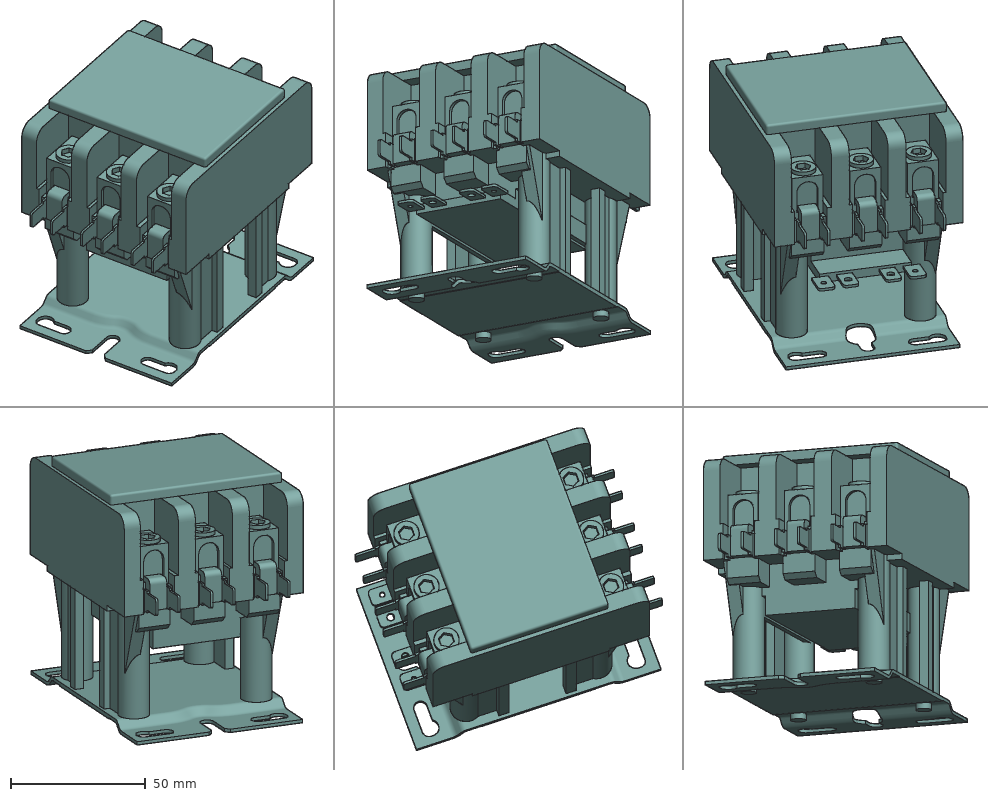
import cadquery as cq
import math


HOUSING_X = 73.0
HOUSING_Y = 85.3
HOUSING_TOP = 87.5
HOUSING_BOTTOM = 48.7
HOUSING_CORNER_R = 5.0
CORE_Y = 54.2
CORE_BOTTOM = 46.5
POCKET_BACK = 20.9

COVER_X = 69.8
COVER_TOP = 91.3
COVER_EDGE_R = 0.9

POLE_PITCH = 22.4
BARRIER_X = 11.0
BARRIER_WIDTH = 6.9
OUTER_BARRIER_INSIDE = 29.9
LEDGE_Z = 62.1
LOWER_POCKET_WIDTH = 12.6

BLOCK_WIDTH = 12.0
BLOCK_FRONT = 38.1
BLOCK_TOP = 73.7
SCREW_Y = 32.4
SCREW_D = 9.5
SCREW_TOP = 75.2
SOCKET_CORNER_D = 5.9
SOCKET_DEPTH = 2.0
WINDOW_WIDTH = 8.2
WINDOW_TOP = 71.6
WINDOW_DEPTH = 1.5

TONGUE_WIDTH = 6.9
TONGUE_TOP = 61.5
TONGUE_FRONT = 42.1
TONGUE_BEND_R = 2.0

CHEEK_FRONT = 40.9
CHEEK_TOP = 57.7
BLADE_OUTSIDE = 5.0
BLADE_THICKNESS = 0.9
BLADE_BACK = 40.0
BLADE_SHOULDER = 43.1
BLADE_TIP = 50.9
BLADE_Z = 53.4
BLADE_HEIGHT = 6.5
BLADE_ROOT_HEIGHT = 8.3
BLADE_TIP_R = 1.0

SHELF_FRONT = 38.6
SHELF_TOP = 49.5
SHELF_BOTTOM = 40.0
SHELF_CHAMFER = 2.0

COIL_X = 39.5
COIL_BOTTOM = 36.9
COIL_Y = CORE_Y
BOBBIN_X = 35.6
BOBBIN_BOTTOM = 29.4
FLANGE_TOP = 33.0
FLANGE_END = 38.6
RAIL_INSIDE = 19.3
RAIL_OUTSIDE = 21.3
TAB_Z = 30.8
TAB_THICKNESS = 1.0
TAB_END = 48.4
TAB_CORNER_R = 1.5
TAB_HOLE_Y = 43.6
COIL_TABS = ((17.7, 6.5, 1.9), (8.2, 6.1, 2.9))

POST_X = 24.9
POST_Y = 25.7
POST_R = 5.9
WEB_OUTSIDE = 30.0
WEB_INSIDE = 28.8
RIB_OUTSIDE = 32.4
RIB_INNER_Y = 11.2
RIB_OUTER_Y = 15.3
GUSSET_INSIDE = 24.9
GUSSET_TIP_Y = 28.8
GUSSET_TIP_Z = 22.0
PIN_D = 5.9
PIN_BOTTOM = 0.8

BASE_X = 67.4
BASE_Y = 96.3
SHEET = 1.3
DECK_TOP = 4.5
DECK_END = 28.5
BEND_R = 2.6
BULGE_DEPTH = 3.3
BULGE_HALF_WIDTH = 12.4
BULGE_ARC_R = 11.4
NOTCH_R = 2.6
NOTCH_MOUTH_CHAMFER = 1.7
KEYHOLE_R = 5.6
KEYHOLE_Y = 32.4
KEYHOLE_END = 43.9
SLOT_INNER_X = 16.0
SLOT_OUTER_X = 30.5
SLOT_OUTER_Y = 43.8
SLOT_WIDTH = 5.1
SLOT_HEAD_R = 3.3
PAD_BOTTOM = 2.9
PAD_Y = 44.8


def block(x0, x1, y0, y1, z0, z1):
    """Rectangular block between two opposite corners."""
    return cq.Workplane("XY").box(x1 - x0, y1 - y0, z1 - z0, centered=False).translate((x0, y0, z0))


def centred_block(width, length, z0, z1):
    return block(-width / 2, width / 2, -length / 2, length / 2, z0, z1)


def along_x(outline, x0, x1):
    """Extrude a closed YZ outline from x0 to x1."""
    return outline.close().extrude(x1 - x0).translate((x0, 0, 0))


def four_corners(shape):
    """The shape and its mirror images in the XZ and YZ planes."""
    pair = shape.union(shape.mirror("XZ"))
    return pair.union(pair.mirror("YZ"))



def make_housing():
    shell = centred_block(HOUSING_X, HOUSING_Y, HOUSING_BOTTOM, HOUSING_TOP)
    shell = shell.edges("|X and >Z").fillet(HOUSING_CORNER_R)
    shell = shell.union(centred_block(HOUSING_X, CORE_Y, CORE_BOTTOM, HOUSING_TOP))
    cover = centred_block(COVER_X, CORE_Y, HOUSING_TOP, COVER_TOP)
    cover = cover.edges("|Z or >Z").fillet(COVER_EDGE_R)
    return shell.union(cover)


def pocket(x0, x1, z0):
    """Space between two barriers at the -Y end, open at the front."""
    return block(x0, x1, -HOUSING_Y / 2, -POCKET_BACK, z0, HOUSING_TOP)


def make_front_pockets():
    inner_face = BARRIER_X - BARRIER_WIDTH / 2
    outer_face = BARRIER_X + BARRIER_WIDTH / 2
    pockets = pocket(-inner_face, inner_face, LEDGE_Z)
    pockets = pockets.union(pocket(-OUTER_BARRIER_INSIDE, -outer_face, LEDGE_Z))
    pockets = pockets.union(pocket(outer_face, OUTER_BARRIER_INSIDE, LEDGE_Z))
    for pole in (-1, 0, 1):
        x = pole * POLE_PITCH
        half = LOWER_POCKET_WIDTH / 2
        pockets = pockets.union(pocket(x - half, x + half, HOUSING_BOTTOM))
    return pockets



def make_terminal_block():
    half = BLOCK_WIDTH / 2
    body = block(-half, half, -BLOCK_FRONT, -POCKET_BACK, HOUSING_BOTTOM, BLOCK_TOP)
    arch_r = WINDOW_WIDTH / 2
    window = block(-arch_r, arch_r, -BLOCK_FRONT, WINDOW_DEPTH - BLOCK_FRONT,
                   TONGUE_TOP - TONGUE_BEND_R, WINDOW_TOP - arch_r)
    arch = (cq.Workplane("XZ", origin=(0, WINDOW_DEPTH - BLOCK_FRONT, WINDOW_TOP - arch_r))
            .circle(arch_r).extrude(WINDOW_DEPTH))
    head = (cq.Workplane("XY", origin=(0, -SCREW_Y, BLOCK_TOP))
            .circle(SCREW_D / 2).extrude(SCREW_TOP - BLOCK_TOP))
    socket = (cq.Workplane("XY", origin=(0, -SCREW_Y, SCREW_TOP))
              .polygon(6, SOCKET_CORNER_D).extrude(-SOCKET_DEPTH))
    return body.cut(window).cut(arch).union(head).cut(socket)


def make_tongue():
    half = TONGUE_WIDTH / 2
    tongue = block(-half, half, -TONGUE_FRONT, WINDOW_DEPTH - BLOCK_FRONT, SHELF_TOP, TONGUE_TOP)
    return tongue.edges("|X and >Z and <Y").fillet(TONGUE_BEND_R)


def make_blade():
    """Blade on the +X side of the pole, with the cheek that holds it."""
    inside = BLADE_OUTSIDE - BLADE_THICKNESS
    root = block(inside, BLADE_OUTSIDE, -BLADE_SHOULDER, -BLADE_BACK,
                 BLADE_Z - BLADE_ROOT_HEIGHT / 2, BLADE_Z + BLADE_ROOT_HEIGHT / 2)
    tip = block(inside, BLADE_OUTSIDE, -BLADE_TIP, -BLADE_BACK,
                BLADE_Z - BLADE_HEIGHT / 2, BLADE_Z + BLADE_HEIGHT / 2)
    tip = tip.edges("|X and <Y").fillet(BLADE_TIP_R)
    cheek = block(BLADE_OUTSIDE, LOWER_POCKET_WIDTH / 2, -CHEEK_FRONT, -POCKET_BACK,
                  HOUSING_BOTTOM, CHEEK_TOP)
    return root.union(tip).union(cheek)


def make_shelf():
    half = LOWER_POCKET_WIDTH / 2
    shelf = block(-half, half, -SHELF_FRONT, -COIL_Y / 2, SHELF_BOTTOM, SHELF_TOP)
    return shelf.edges("|X and <Z and <Y").chamfer(SHELF_CHAMFER)


def make_terminal():
    blade = make_blade()
    terminal = make_terminal_block().union(make_tongue()).union(make_shelf())
    return terminal.union(blade).union(blade.mirror("YZ"))



def make_coil():
    coil = centred_block(COIL_X, COIL_Y, COIL_BOTTOM, HOUSING_BOTTOM)
    coil = coil.union(centred_block(BOBBIN_X, COIL_Y, BOBBIN_BOTTOM, COIL_BOTTOM))
    half = BOBBIN_X / 2
    coil = coil.union(block(-half, half, 0, FLANGE_END, BOBBIN_BOTTOM, FLANGE_TOP))
    rail = block(RAIL_INSIDE, RAIL_OUTSIDE, -COIL_Y / 2, COIL_Y / 2, BOBBIN_BOTTOM, COIL_BOTTOM)
    coil = coil.union(rail).union(rail.mirror("YZ"))
    for x, width, hole_d in COIL_TABS:
        tab = block(x - width / 2, x + width / 2, FLANGE_END, TAB_END,
                    TAB_Z, TAB_Z + TAB_THICKNESS)
        tab = tab.edges("|Z and >Y").fillet(TAB_CORNER_R)
        hole = (cq.Workplane("XY", origin=(x, TAB_HOLE_Y, TAB_Z))
                .circle(hole_d / 2).extrude(TAB_THICKNESS))
        tab = tab.cut(hole)
        coil = coil.union(tab).union(tab.mirror("YZ"))
    return coil



def make_leg():
    deck_bottom = DECK_TOP - SHEET
    post = (cq.Workplane("XY", origin=(POST_X, POST_Y, DECK_TOP))
            .circle(POST_R).extrude(HOUSING_BOTTOM - DECK_TOP))
    web = block(WEB_INSIDE, WEB_OUTSIDE, RIB_INNER_Y, POST_Y, DECK_TOP, CORE_BOTTOM)
    rib = block(WEB_INSIDE, RIB_OUTSIDE, RIB_INNER_Y, RIB_OUTER_Y, DECK_TOP, CORE_BOTTOM)
    gusset = along_x(
        cq.Workplane("YZ").moveTo(POST_Y, HOUSING_BOTTOM).lineTo(SHELF_FRONT, HOUSING_BOTTOM)
        .lineTo(GUSSET_TIP_Y, GUSSET_TIP_Z).lineTo(POST_Y, GUSSET_TIP_Z),
        GUSSET_INSIDE, WEB_OUTSIDE)
    pin = (cq.Workplane("XY", origin=(POST_X, POST_Y, PIN_BOTTOM))
           .circle(PIN_D / 2).extrude(deck_bottom - PIN_BOTTOM))
    return post.union(web).union(rib).union(gusset).union(pin)



SIN_45 = math.sin(math.pi / 4)
RAMP_STRAIGHT = DECK_TOP - SHEET - 2 * BEND_R * (1 - SIN_45)
RAMP_LENGTH = 2 * BEND_R * SIN_45 + RAMP_STRAIGHT
BULGE_ANGLE = 2 * math.atan(BULGE_DEPTH / BULGE_HALF_WIDTH)
BULGE_FLARE_R = BULGE_HALF_WIDTH / math.sin(BULGE_ANGLE) - BULGE_ARC_R
NOTCH_Y = DECK_END - BULGE_DEPTH + BULGE_ARC_R


def on_bend(centre_y, centre_z, radius, degrees):
    angle = math.radians(degrees)
    return (centre_y + radius * math.cos(angle), centre_z + radius * math.sin(angle))


def ramp_section(x):
    """Outline of the bent sheet of the -Y ramp, in the YZ plane at the given X."""
    high = (-DECK_END, DECK_TOP - BEND_R)
    low = (-DECK_END - RAMP_LENGTH, SHEET + BEND_R)
    high_under_r = BEND_R - SHEET
    low_under_r = BEND_R + SHEET
    return (cq.Workplane("YZ", origin=(x, 0, 0))
            .moveTo(*on_bend(*high, BEND_R, 90))
            .threePointArc(on_bend(*high, BEND_R, 112.5), on_bend(*high, BEND_R, 135))
            .lineTo(*on_bend(*low, BEND_R, -45))
            .threePointArc(on_bend(*low, BEND_R, -67.5), on_bend(*low, BEND_R, -90))
            .lineTo(*on_bend(*low, low_under_r, -90))
            .threePointArc(on_bend(*low, low_under_r, -67.5), on_bend(*low, low_under_r, -45))
            .lineTo(*on_bend(*high, high_under_r, 135))
            .threePointArc(on_bend(*high, high_under_r, 112.5), on_bend(*high, high_under_r, 90))
            .close())


def bulged_edge(offset):
    """Open line along X, parallel to the -Y deck edge and the given distance outside it."""
    flare_r = BULGE_FLARE_R + offset
    arc_r = BULGE_ARC_R - offset
    edge_y = -DECK_END - offset

    def on_flare(angle):
        return (BULGE_HALF_WIDTH - flare_r * math.sin(angle), edge_y + flare_r * (1 - math.cos(angle)))

    mid_x, mid_y = on_flare(BULGE_ANGLE / 2)
    end_x, end_y = on_flare(BULGE_ANGLE)
    return (cq.Workplane("XY").moveTo(-BASE_X / 2, edge_y).lineTo(-BULGE_HALF_WIDTH, edge_y)
            .threePointArc((-mid_x, mid_y), (-end_x, end_y))
            .threePointArc((0, arc_r - NOTCH_Y), (end_x, end_y))
            .threePointArc((mid_x, mid_y), (BULGE_HALF_WIDTH, edge_y))
            .lineTo(BASE_X / 2, edge_y))


def make_mounting_slot():
    """Slot with a larger round head, at the +X +Y corner."""
    end_r = SLOT_WIDTH / 2
    slot = (cq.Workplane("XY", origin=((SLOT_INNER_X + SLOT_OUTER_X) / 2, SLOT_OUTER_Y - end_r, 0))
            .slot2D(SLOT_OUTER_X - SLOT_INNER_X, SLOT_WIDTH).extrude(DECK_TOP))
    head = (cq.Workplane("XY", origin=(SLOT_OUTER_X - SLOT_HEAD_R, SLOT_OUTER_Y - SLOT_HEAD_R, 0))
            .circle(SLOT_HEAD_R).extrude(DECK_TOP))
    return slot.union(head)


def make_front_notch():
    end = -BASE_Y / 2
    mouth = NOTCH_R + NOTCH_MOUTH_CHAMFER
    return (cq.Workplane("XY").moveTo(-mouth, end).lineTo(-NOTCH_R, end + NOTCH_MOUTH_CHAMFER)
            .lineTo(-NOTCH_R, -NOTCH_Y).threePointArc((0, NOTCH_R - NOTCH_Y), (NOTCH_R, -NOTCH_Y))
            .lineTo(NOTCH_R, end + NOTCH_MOUTH_CHAMFER).lineTo(mouth, end).close().extrude(SHEET))


def make_rear_keyhole():
    neck_y = KEYHOLE_END - NOTCH_R
    neck = (cq.Workplane("XY").moveTo(-NOTCH_R, KEYHOLE_Y).lineTo(-NOTCH_R, neck_y)
            .threePointArc((0, KEYHOLE_END), (NOTCH_R, neck_y)).lineTo(NOTCH_R, KEYHOLE_Y)
            .close().extrude(DECK_TOP))
    head = cq.Workplane("XY").center(0, KEYHOLE_Y).circle(KEYHOLE_R).extrude(DECK_TOP)
    return neck.union(head)


def make_base():
    half_x = BASE_X / 2
    half_y = BASE_Y / 2
    ramp_end = DECK_END + RAMP_LENGTH
    deck = (bulged_edge(0).lineTo(half_x, DECK_END).lineTo(-half_x, DECK_END).close()
            .extrude(SHEET).translate((0, 0, DECK_TOP - SHEET)))
    pad = centred_block(BASE_X, PAD_Y, PAD_BOTTOM, DECK_TOP - SHEET)
    front_ramp = ramp_section(-half_x).sweep(bulged_edge(0))
    front_flange = (bulged_edge(RAMP_LENGTH).lineTo(half_x, -half_y).lineTo(-half_x, -half_y)
                    .close().extrude(SHEET))
    rear_ramp = ramp_section(-half_x).extrude(BASE_X).mirror("XZ")
    rear_flange = block(-half_x, half_x, ramp_end, half_y, 0, SHEET)
    base = deck.union(pad).union(front_ramp).union(front_flange).union(rear_ramp).union(rear_flange)
    return base.cut(four_corners(make_mounting_slot())).cut(make_front_notch()).cut(make_rear_keyhole())



front_pockets = make_front_pockets()
result = make_housing().cut(front_pockets).cut(front_pockets.mirror("XZ"))

front_terminal = make_terminal()
terminal_pair = front_terminal.union(front_terminal.mirror("XZ"))
for pole in (-1, 0, 1):
    result = result.union(terminal_pair.translate((pole * POLE_PITCH, 0, 0)))

result = result.union(make_coil()).union(make_base()).union(four_corners(make_leg()))